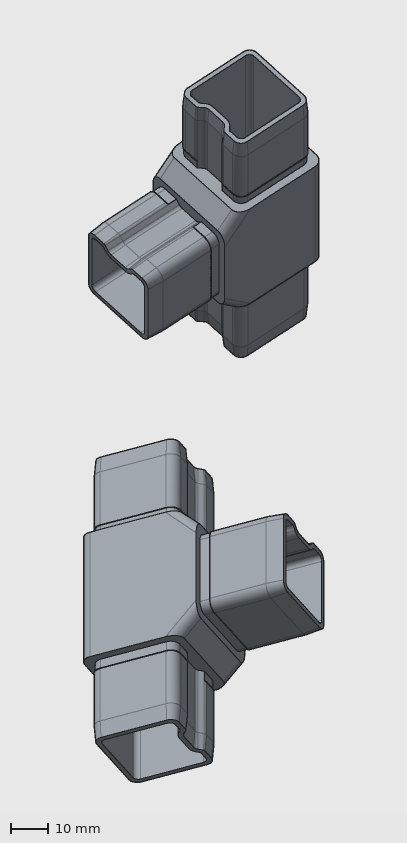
import cadquery as cq
import math


reach = 45.0
body_width = 30.0
body_reach = 20.0
body_round = 3.0

stub_width = 25.7
stub_round = 3.0
neck_length = 3.0
neck_inset = 0.3
tip_length = 5.0
tip_inset = 0.45

groove_depth = 2.0
groove_floor_half = 2.9
groove_foot_radius = 1.5
groove_lip_radius = 1.2

wall = 1.9
cavity_round = 1.5
cavity_lip_radius = 1.0

body_half = body_width / 2
body_chamfer = body_reach - body_half
stub_half = stub_width / 2
neck_width = stub_width - 2 * neck_inset
tip_start = reach - tip_length
sin_45 = math.sin(math.pi / 4)


def grooved_profile(z, inset, corner_radius, lip_radius):
    """Rounded square at height z with a groove in its -Y side.

    The inset shrinks the stub profile evenly, so the groove foot radius grows by it.
    """
    half = stub_half - inset
    straight = half - corner_radius
    foot_radius = groove_foot_radius + inset
    floor_y = -half + groove_depth

    foot_x = groove_floor_half + foot_radius * sin_45
    foot_y = floor_y - foot_radius * (1 - sin_45)
    lip_y = -half + lip_radius * (1 - sin_45)
    lip_x = foot_x + foot_y - lip_y
    face_x = lip_x + lip_radius * sin_45

    return (
        cq.Workplane("XY", origin=(0, 0, z))
        .moveTo(-groove_floor_half, floor_y)
        .lineTo(groove_floor_half, floor_y)
        .tangentArcPoint((foot_x, foot_y), relative=False)
        .lineTo(lip_x, lip_y)
        .tangentArcPoint((face_x, -half), relative=False)
        .lineTo(straight, -half)
        .tangentArcPoint((half, -straight), relative=False)
        .lineTo(half, straight)
        .tangentArcPoint((straight, half), relative=False)
        .lineTo(-straight, half)
        .tangentArcPoint((-half, straight), relative=False)
        .lineTo(-half, -straight)
        .tangentArcPoint((-straight, -half), relative=False)
        .lineTo(-face_x, -half)
        .tangentArcPoint((-lip_x, lip_y), relative=False)
        .lineTo(-foot_x, foot_y)
        .tangentArcPoint((-groove_floor_half, floor_y), relative=False)
        .close()
    )


def make_body():
    """Block chamfered above and below the branch face, with rounded side edges."""
    body = (
        cq.Workplane("YZ")
        .moveTo(body_half, -body_reach)
        .lineTo(body_half, body_reach)
        .lineTo(-body_half, body_reach)
        .lineTo(-body_reach, body_reach - body_chamfer)
        .lineTo(-body_reach, -body_reach + body_chamfer)
        .lineTo(-body_half, -body_reach)
        .close()
        .extrude(body_half, both=True)
    )
    back_edges = body.edges("|Z and >Y")
    upper_slants = body.edges(cq.selectors.ParallelDirSelector(cq.Vector(0, 1, 1)))
    lower_slants = body.edges(cq.selectors.ParallelDirSelector(cq.Vector(0, 1, -1)))
    return back_edges.add(upper_slants).add(lower_slants).fillet(body_round)


def make_neck_ring():
    """Ring around the root of the upper stub that is cut away to form its neck."""
    neck_base = cq.Workplane("XY", origin=(0, 0, body_reach))
    core = neck_base.rect(neck_width, neck_width).extrude(neck_length)
    core = core.edges("|Z").fillet(stub_round - neck_inset)
    return neck_base.rect(body_width, body_width).extrude(neck_length).cut(core)


def make_stub():
    """Solid upper stub: reduced neck, straight length and tapered tip."""
    shaft_profile = grooved_profile(body_reach, 0, stub_round, groove_lip_radius)
    shaft = shaft_profile.extrude(tip_start - body_reach).cut(make_neck_ring())

    tip_base = grooved_profile(tip_start, 0, stub_round, groove_lip_radius)
    tip_end = grooved_profile(reach, tip_inset, stub_round - tip_inset, groove_lip_radius - tip_inset)
    tip = cq.Solid.makeLoft([tip_base.val(), tip_end.val()], True)
    return shaft.union(cq.Workplane(tip))


def make_cavity():
    """Bore of the upper stub, from the origin to the open end."""
    return grooved_profile(0, wall, cavity_round, cavity_lip_radius).extrude(reach)


def on_all_ends(upper):
    """Copies of an upper stub shape for the top, the bottom and the branch."""
    lower = upper.mirror("XY")
    branch = upper.rotate((0, 0, 0), (0, 0, 1), 180).rotate((0, 0, 0), (1, 0, 0), 90)
    return [upper, lower, branch]


result = make_body()
for stub in on_all_ends(make_stub()):
    result = result.union(stub)
for cavity in on_all_ends(make_cavity()):
    result = result.cut(cavity)